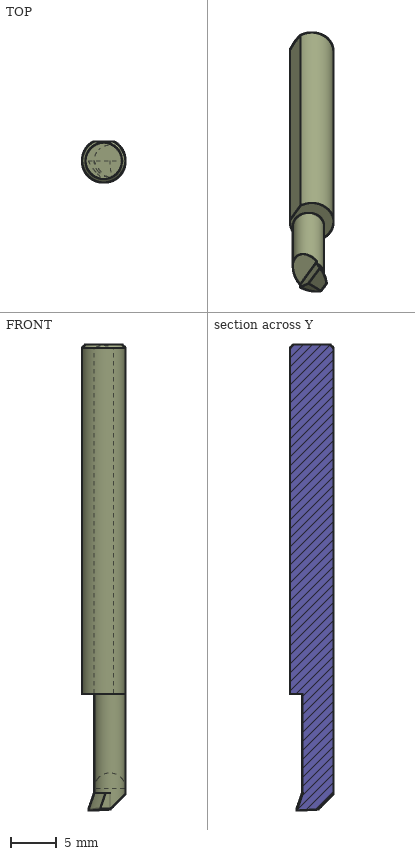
import cadquery as cq
import math


def slope(angle):
    """Rise per unit length of a line at an angle in degrees."""
    return math.tan(math.radians(angle))


overall_length = 50.79

shank_diameter = 4.76
shank_radius = shank_diameter / 2
shank_flat_y = 2.13
shank_length = 38.1
shank_chamfer = 0.4
shank_bottom = overall_length - shank_length

neck_diameter = 3.43
neck_radius = neck_diameter / 2
neck_x = shank_radius - neck_radius
neck_right = shank_radius
neck_left = neck_x - neck_radius

rake_flat_length = 2.4
rake_runout_angle = 45.0

ledge_z = 1.94
side_edge_angle = 19.0
flank_offset = 1.25
flank_radius = 5.0
nose_radius = 0.1
end_edge_angle = 3.0
end_relief_angle = 5.0
back_bevel_angle = 45.0

nose_corner_angle = 90.0 - side_edge_angle - end_edge_angle
half_corner = math.radians(nose_corner_angle / 2)
corner_drop = nose_radius * (math.sin(half_corner + math.radians(end_edge_angle)) / math.sin(half_corner) - 1)
nose_corner = (neck_left - (ledge_z + corner_drop) * slope(side_edge_angle), 0, -corner_drop)

clearance = 1.0


def make_shank():
    """Round shank with a chamfered top end and a flat along its +Y side."""
    base = cq.Workplane("XY", origin=(0, 0, shank_bottom))
    shank = base.circle(shank_radius).extrude(shank_length).faces(">Z").chamfer(shank_chamfer)
    flat_cut = (
        base.center(0, shank_flat_y + clearance / 2)
        .rect(shank_diameter, clearance)
        .extrude(shank_length)
    )
    return shank.cut(flat_cut)


def make_rake_cut():
    """Solid that clears the +Y half of the tip and runs out at an angle up the neck."""
    reach = neck_radius + clearance
    return (
        cq.Workplane("YZ", origin=(neck_x - reach, 0, 0))
        .moveTo(0, -clearance)
        .lineTo(0, rake_flat_length)
        .lineTo(reach, rake_flat_length + reach * slope(rake_runout_angle))
        .lineTo(reach, -clearance)
        .close()
        .extrude(2 * reach)
    )


def make_end_cut():
    """Block under the end edge, tilted along the edge and relieved behind it."""
    normal = (-slope(end_edge_angle), slope(end_relief_angle), 1)
    plane = cq.Plane(origin=nose_corner, xDir=(1, 0, slope(end_edge_angle)), normal=normal)
    return cq.Workplane(plane).rect(4 * neck_diameter, 4 * neck_diameter).extrude(-neck_diameter)


def make_bevel_cut():
    """Solid that bevels the back of the tip, from the neck's centre up to its +X side."""
    reach = neck_radius + clearance
    start_z = nose_corner[2] + (neck_x - nose_corner[0]) * slope(end_edge_angle)
    return (
        cq.Workplane("XZ", origin=(0, reach, 0))
        .moveTo(neck_x, start_z)
        .lineTo(neck_x + reach, start_z + reach * slope(back_bevel_angle))
        .lineTo(neck_x + reach, start_z - clearance)
        .lineTo(neck_x, start_z - clearance)
        .close()
        .extrude(2 * reach)
    )


def make_neck():
    """Neck with its +X half reaching the tip, shaped by the rake, end and bevel cuts."""
    tooth_room = (
        cq.Workplane("XY", origin=(neck_left, 0, (ledge_z - clearance) / 2))
        .box(neck_diameter, neck_diameter, ledge_z + clearance)
    )
    neck = (
        cq.Workplane("XY", origin=(neck_x, 0, -clearance))
        .circle(neck_radius)
        .extrude(shank_bottom + clearance)
        .cut(tooth_room)
    )
    return neck.cut(make_rake_cut()).cut(make_end_cut()).cut(make_bevel_cut())


def make_tooth():
    """Cutting tooth on the -X side: a curved flank swept along the side edge, with a rounded nose."""
    sweep_depth = ledge_z + clearance
    section = (
        cq.Workplane("XY", origin=(0, 0, ledge_z))
        .moveTo(neck_left, 0)
        .radiusArc((neck_left + flank_offset, -neck_radius), -flank_radius)
        .lineTo(neck_right, -neck_radius)
        .lineTo(neck_right, 0)
        .close()
        .wires()
        .val()
    )
    sweep = cq.Vector(-sweep_depth * slope(side_edge_angle), 0, -sweep_depth)
    blank = cq.Workplane(cq.Solid.extrudeLinear(section, [], sweep))
    right_side = (
        cq.Workplane("XY", origin=(neck_right, 0, 0))
        .box(neck_diameter, 2 * neck_diameter, 2 * neck_diameter)
    )
    tooth = blank.cut(right_side).cut(make_end_cut())
    nose_edge = cq.selectors.NearestToPointSelector(
        (nose_corner[0] + flank_offset / 2, -neck_radius / 2, nose_corner[2])
    )
    return tooth.edges(nose_edge).fillet(nose_radius)


result = make_shank().union(make_neck()).union(make_tooth())